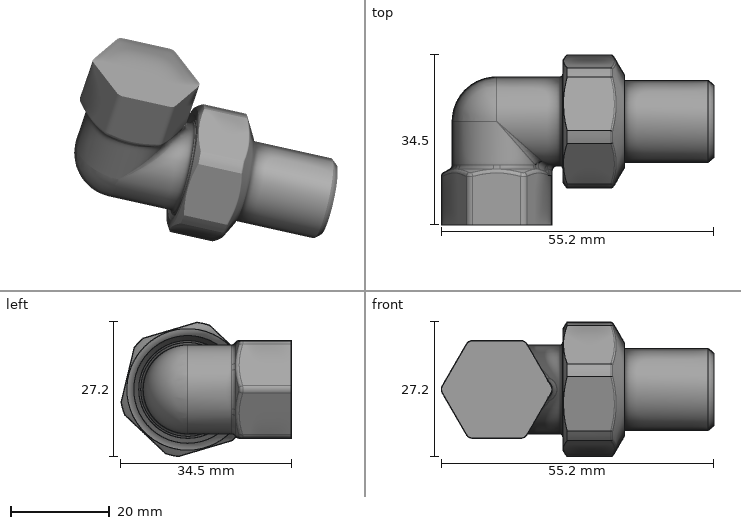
import cadquery as cq
import math

BODY_RADIUS = 9.0
LEG_BLEND_RADIUS = 1.2

SOCKET_FLATS = 19.8
SOCKET_CORNER_RADIUS = 1.5
SOCKET_END_Y = -21.0
SOCKET_SHOULDER_Y = -9.4
SOCKET_CHAMFER_ANGLE = 30.0
SOCKET_EDGE_RADIUS = 0.9
NECK_RADIUS = 0.95
NECK_OVERLAP = 1.0
NECK_BAND = 1.6

POST_RADIUS = 1.9
POST_X = 9.35
POST_RISE = 2.4
POST_HEIGHT = 4.0

COLLAR_START_X = 12.85
COLLAR_FLARE_RADIUS = 0.5
FLANGE_START_X = 13.6

NUT_START_X = 13.4
NUT_LENGTH = 12.5
NUT_FLATS = 25.0
NUT_TURNED_RADIUS = 13.73
NUT_ROTATION = 13.5
NUT_FACE_RADIUS = 12.3
NUT_CHAMFER_LENGTH = 0.87
NUT_CONE_END_RADIUS = 9.34
NUT_CONE_ANGLE = 30.0
NUT_EDGE_RADIUS = 0.4
NUT_MOUTH_RADIUS = 10.9
NUT_BORE_RADIUS = 9.9
NUT_MOUTH_DEPTH = 1.0

TAIL_RADIUS = 8.3
TAIL_END_X = 44.0
TAIL_CHAMFER_LENGTH = 1.2
TAIL_CHAMFER_DEPTH = 1.0


def hex_prism(flats, length):
    """Sharp hexagonal prism along +Z; one corner points along +X."""
    return cq.Workplane("XY").polygon(6, 2 * flats / math.sqrt(3)).extrude(length)


def revolve_about_z(points):
    """Solid of revolution about Z from (radius, height) points."""
    return cq.Workplane("XZ").polyline(points).close().revolve(360, (0, 0), (0, 1))


def along_x(shape, start):
    """Turn a part built along +Z to run along +X from the given start."""
    return shape.rotate((0, 0, 0), (0, 1, 0), 90).translate((start, 0, 0))


def make_legs():
    """Two crossing cylinders with a ball at the outer bend and a blend at the inner one."""
    x_leg = cq.Workplane("YZ").circle(BODY_RADIUS).extrude(NUT_START_X)
    y_leg = cq.Workplane("XZ").circle(BODY_RADIUS).extrude(-SOCKET_SHOULDER_Y + NECK_OVERLAP)
    legs = x_leg.union(y_leg).union(cq.Workplane("XY").sphere(BODY_RADIUS))
    return legs.edges("%ELLIPSE").fillet(LEG_BLEND_RADIUS)


def make_socket():
    """Closed hexagonal socket with rounded corners and a coned shoulder."""
    length = SOCKET_SHOULDER_Y - SOCKET_END_Y
    reach = SOCKET_FLATS / math.sqrt(3)
    drop = (reach - BODY_RADIUS) * math.tan(math.radians(SOCKET_CHAMFER_ANGLE))
    envelope = revolve_about_z(
        [(0, 0), (reach, 0), (reach, length - drop), (BODY_RADIUS, length), (0, length)]
    )
    socket = hex_prism(SOCKET_FLATS, length).edges("|Z").fillet(SOCKET_CORNER_RADIUS)
    socket = socket.intersect(envelope)
    socket = socket.faces("%CONE").edges("not %CIRCLE").fillet(SOCKET_EDGE_RADIUS)
    return socket.rotate((0, 0, 0), (1, 0, 0), -90).translate((0, SOCKET_END_Y, 0))


def make_post():
    """Post inside the +X socket corner, rising from the socket into the +X leg."""
    post = cq.Workplane("XZ", origin=(0, SOCKET_SHOULDER_Y + POST_RISE, 0))
    return post.center(POST_X, 0).circle(POST_RADIUS).extrude(POST_HEIGHT)


def is_neck_edge(edge):
    """True for the curved edges where the legs, post and socket shoulder meet."""
    box = edge.BoundingBox()
    below_top = box.ymax < SOCKET_SHOULDER_Y + NECK_BAND
    above_bottom = box.ymin > SOCKET_SHOULDER_Y - NECK_BAND
    return below_top and above_bottom and edge.geomType() != "LINE"


def make_elbow():
    """Legs, socket and post joined, with the neck between them filleted."""
    elbow = make_legs().union(make_socket()).union(make_post())
    return elbow.edges().filter(is_neck_edge).fillet(NECK_RADIUS)


def make_flare():
    """Quarter-round flare to a collar, then a flange that meets the bore of the nut."""
    flare_end_x = COLLAR_START_X + COLLAR_FLARE_RADIUS
    collar_radius = BODY_RADIUS + COLLAR_FLARE_RADIUS
    flange_end_x = NUT_START_X + NUT_MOUTH_DEPTH
    arc_middle = (
        COLLAR_START_X + COLLAR_FLARE_RADIUS * math.sin(math.pi / 4),
        collar_radius - COLLAR_FLARE_RADIUS * math.cos(math.pi / 4),
    )
    profile = (
        cq.Workplane("XY")
        .moveTo(COLLAR_START_X, 0)
        .lineTo(COLLAR_START_X, BODY_RADIUS)
        .threePointArc(arc_middle, (flare_end_x, collar_radius))
        .lineTo(FLANGE_START_X, collar_radius)
        .lineTo(FLANGE_START_X, NUT_BORE_RADIUS)
        .lineTo(flange_end_x, NUT_BORE_RADIUS)
        .lineTo(flange_end_x, 0)
        .close()
    )
    return profile.revolve(360, (0, 0), (1, 0))


def make_nut():
    """Hexagon turned to a round at its corners, with a front chamfer and a long rear cone."""
    cone_depth = NUT_TURNED_RADIUS - NUT_CONE_END_RADIUS
    cone_length = cone_depth * math.tan(math.radians(NUT_CONE_ANGLE))
    front_envelope = revolve_about_z(
        [
            (0, 0),
            (NUT_FACE_RADIUS, 0),
            (NUT_TURNED_RADIUS, NUT_CHAMFER_LENGTH),
            (NUT_TURNED_RADIUS, NUT_LENGTH),
            (0, NUT_LENGTH),
        ]
    )
    rear_envelope = revolve_about_z(
        [
            (0, 0),
            (NUT_TURNED_RADIUS, 0),
            (NUT_TURNED_RADIUS, NUT_LENGTH - cone_length),
            (NUT_CONE_END_RADIUS, NUT_LENGTH),
            (0, NUT_LENGTH),
        ]
    )
    mouth = revolve_about_z(
        [(0, 0), (NUT_MOUTH_RADIUS, 0), (NUT_BORE_RADIUS, NUT_MOUTH_DEPTH), (0, NUT_MOUTH_DEPTH)]
    )
    nut = hex_prism(NUT_FLATS, NUT_LENGTH).rotate((0, 0, 0), (0, 0, 1), NUT_ROTATION)
    nut = nut.intersect(rear_envelope)
    nut = nut.faces("%CONE").edges("not >Z").fillet(NUT_EDGE_RADIUS)
    nut = nut.intersect(front_envelope).cut(mouth)
    return along_x(nut, NUT_START_X)


def make_tail():
    """Plain round tailpiece with a chamfered end, running through the nut."""
    tail = cq.Workplane("YZ").circle(TAIL_RADIUS).extrude(TAIL_END_X)
    return tail.faces(">X").chamfer(TAIL_CHAMFER_LENGTH, TAIL_CHAMFER_DEPTH)


result = make_elbow().union(make_flare()).union(make_nut()).union(make_tail())